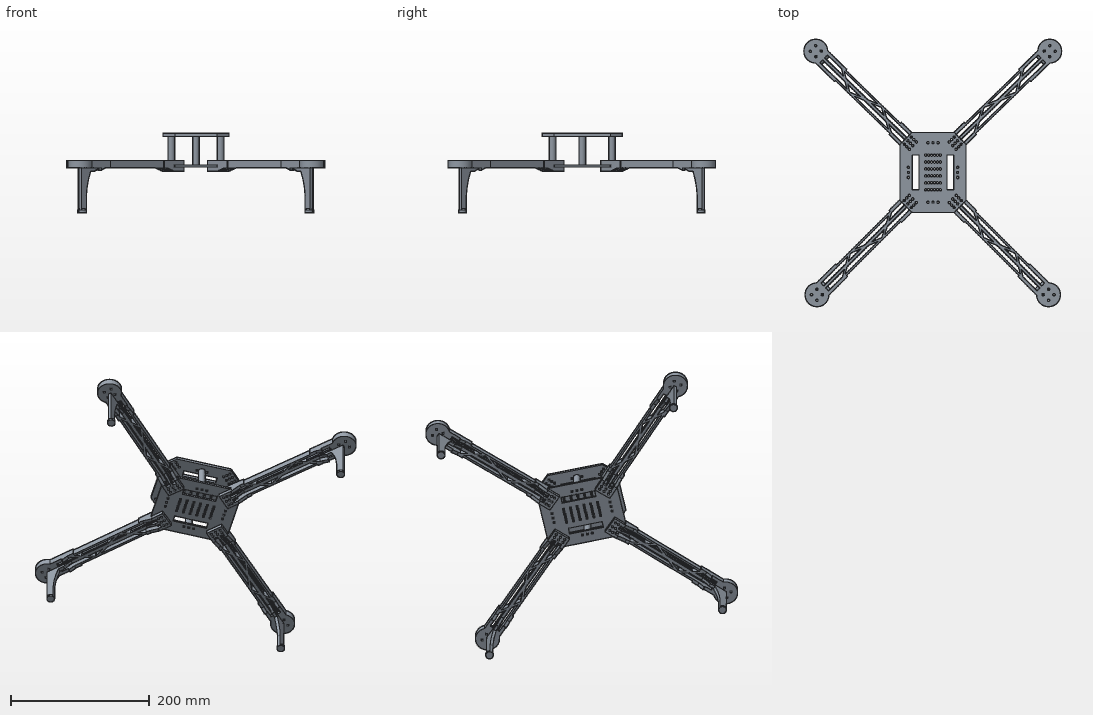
import cadquery as cq
import math

foot_height = 6.5
arm_top = 75.5
arm_thickness = 10.8
arm_bottom = arm_top - arm_thickness
jaw_drop = 5.0
jaw_bottom = arm_bottom - jaw_drop
lower_plate_bottom = 66.0
lower_plate_thickness = 3.0
lower_plate_top = lower_plate_bottom + lower_plate_thickness
total_height = 115.0
upper_plate_thickness = 5.0
upper_plate_bottom = total_height - upper_plate_thickness

mount_radius = 17.5
arm_end = 199.7
wide_width = 25.0
narrow_width = 21.2
mount_wide_end = 50.0
hub_wide_start = 159.5
rib_width = 4.0
rib_base_width = 5.0
rib_base_height = 4.0
slot_width = 5.8
slot_outer = rib_width / 2 + slot_width
slot_start = 15.8
slot_end = 186.0
ledge_length = 4.0
ledge_round = 3.5
ledge_height = 7.7
clamp_start = 180.5
ramp_start = 165.8
brace_thickness = 3.0
brace_ends = [(47.0, 73.0), (81.5, 120.3), (127.2, 156.5)]

foot_diameter = 11.0
foot_chamfer = 2.7
foot_offset = 5.5
leg_thickness = 4.5
leg_outer = 0.5
leg_inner = foot_offset + foot_diameter / 2
leg_curve_start = 25.0
leg_curve_middle = (14.5, 46.3)
leg_curve_end = 19.5
web_flat_end = 27.8
tail_start = 31.0
tail_drop = 3.5
tail_end = 40.5

hole_diameter = 3.0
mount_hole_radius = 7.9
clamp_row_pitch = 7.5
clamp_columns = [185.0, 190.0, 195.0]
arm_hole_columns = clamp_columns[1:]

back_mount = (-168.5, 175.5)
back_angle = -44.2
front_mount = (166.75, -175.5)
front_angle = 135.0

plate_center = (0.5, 0.8)
plate_length_x = 95.2
plate_length_y = 115.5
plate_chamfer = 17.5
window_width = 9.3
window_length = 49.7
window_offset = 25.0
vent_columns = 6
vent_column_pitch = 4.2
vent_rows = 6
vent_row_pitch = 10.0
post_diameter = 10.0
post_offset_x = 35.5
post_offset_y = 42.8
post_hole_pitch = 7.5


def box_between(x_start, x_end, width, z_start, z_end):
    """Box centred on the arm's axis."""
    size = (x_end - x_start, width, z_end - z_start)
    return cq.Workplane().box(*size).translate(
        ((x_start + x_end) / 2, 0, (z_start + z_end) / 2)
    )


def side_profile_solid(profile, width):
    """Extrude a closed profile drawn in the XZ plane evenly to both sides."""
    return profile.close().extrude(width / 2, both=True)



def arm_blank():
    mount = cq.Workplane().workplane(offset=arm_bottom).circle(mount_radius).extrude(arm_thickness)
    beam = box_between(0, arm_end, narrow_width, arm_bottom, arm_top)
    mount_beam = box_between(0, mount_wide_end, wide_width, arm_bottom, arm_top)
    hub_beam = box_between(hub_wide_start, arm_end, wide_width, arm_bottom, arm_top)
    return mount.union(beam).union(mount_beam).union(hub_beam)


def clamp_jaw():
    profile = (
        cq.Workplane("XZ")
        .moveTo(ramp_start, arm_bottom)
        .lineTo(clamp_start, jaw_bottom)
        .lineTo(arm_end, jaw_bottom)
        .lineTo(arm_end, arm_bottom)
    )
    return side_profile_solid(profile, wide_width)


def web_tail():
    """Full-width wedge that ends the leg's web."""
    profile = (
        cq.Workplane("XZ")
        .moveTo(tail_start, arm_bottom)
        .lineTo(tail_start, arm_bottom - tail_drop)
        .lineTo(tail_end, arm_bottom)
    )
    return side_profile_solid(profile, wide_width)


def lightening_slots():
    slots = cq.Workplane()
    for side in (1, -1):
        slot = box_between(slot_start, slot_end, slot_width, jaw_bottom, arm_top)
        slots = slots.add(slot.translate((0, side * (rib_width + slot_width) / 2, 0)))
    return slots.combine()


def slot_ledge():
    """Ledge at the mount's end of the slots, with a rounded free edge."""
    edge = slot_start + ledge_length
    ledge_top = arm_bottom + ledge_height
    ledge = box_between(slot_start, edge, 2 * slot_outer, arm_bottom, ledge_top)
    return ledge.edges("|Y and >X and >Z").fillet(ledge_round)


def rib_base():
    return box_between(slot_start, slot_end, rib_base_width, arm_bottom, arm_bottom + rib_base_height)


def brace(start, end, side):
    """Diagonal wall from one outer slot wall to the other."""
    run = end - start
    rise = 2 * slot_outer
    half_step = brace_thickness / 2 * math.hypot(run, rise) / rise
    near = side * slot_outer
    outline = [
        (start - half_step, near),
        (start + half_step, near),
        (end + half_step, -near),
        (end - half_step, -near),
    ]
    return cq.Workplane().workplane(offset=arm_bottom).polyline(outline).close().extrude(arm_thickness)


def leg():
    web = (
        cq.Workplane("XZ")
        .moveTo(leg_outer, 0)
        .lineTo(leg_inner, 0)
        .lineTo(leg_inner, leg_curve_start)
        .threePointArc(leg_curve_middle, (leg_curve_end, jaw_bottom))
        .lineTo(web_flat_end, jaw_bottom)
        .lineTo(tail_start, arm_bottom - tail_drop)
        .lineTo(tail_end, arm_bottom)
        .lineTo(leg_outer, arm_bottom)
    )
    foot = cq.Workplane().center(foot_offset, 0).circle(foot_diameter / 2).extrude(foot_height)
    foot = foot.faces(">Z").chamfer(foot_chamfer)
    return side_profile_solid(web, leg_thickness).union(foot)


def clamp_hole_points(columns):
    return [(x, row * clamp_row_pitch) for x in columns for row in (-1, 0, 1)]


def arm_holes():
    mount_holes = (
        cq.Workplane()
        .workplane(offset=arm_bottom)
        .polarArray(mount_hole_radius, 45, 360, 4)
        .circle(hole_diameter / 2)
        .extrude(arm_thickness)
    )
    clamp_holes = (
        cq.Workplane()
        .workplane(offset=jaw_bottom)
        .pushPoints(clamp_hole_points(arm_hole_columns))
        .circle(hole_diameter / 2)
        .extrude(arm_top - jaw_bottom)
    )
    return mount_holes.union(clamp_holes)


def make_arm():
    arm = arm_blank().union(clamp_jaw()).union(web_tail()).cut(lightening_slots())
    side = 1
    for start, end in brace_ends:
        arm = arm.union(brace(start, end, side))
        side = -side
    arm = arm.union(slot_ledge()).union(rib_base())
    plate_gap = box_between(clamp_start, arm_end, wide_width, lower_plate_bottom, lower_plate_top)
    return arm.union(leg()).cut(plate_gap).cut(arm_holes())


def place_on_arm(shape, mount, angle):
    return shape.rotate((0, 0, 0), (0, 0, 1), angle).translate((*mount, 0))


def place_arms(shape):
    """Copies for all four arms: the left and right of each pair mirror each other."""
    copies = []
    for mount, angle in ((back_mount, back_angle), (front_mount, front_angle)):
        placed = place_on_arm(shape, mount, angle)
        copies += [placed, placed.mirror("YZ")]
    return copies



def post_points():
    x, y = plate_center
    return [
        (x - post_offset_x, y),
        (x + post_offset_x, y),
        (x, y - post_offset_y),
        (x, y + post_offset_y),
    ]


def post_hole_points():
    """Three holes in line at each post, along the plate's nearest edge."""
    points = []
    for x, y in post_points():
        for step in (-post_hole_pitch, 0, post_hole_pitch):
            if x == plate_center[0]:
                points.append((x + step, y))
            else:
                points.append((x, y + step))
    return points


def make_plate(bottom, thickness):
    sketch_plane = cq.Workplane(origin=(*plate_center, bottom))
    plate = sketch_plane.rect(plate_length_x, plate_length_y).extrude(thickness)
    plate = plate.edges("|Z").chamfer(plate_chamfer)
    windows = (
        sketch_plane.pushPoints([(-window_offset, 0), (window_offset, 0)])
        .rect(window_width, window_length)
        .extrude(thickness)
    )
    vents = (
        sketch_plane.rarray(vent_column_pitch, vent_row_pitch, vent_columns, vent_rows)
        .circle(hole_diameter / 2)
        .extrude(thickness)
    )
    post_holes = (
        cq.Workplane(origin=(0, 0, bottom))
        .pushPoints(post_hole_points())
        .circle(hole_diameter / 2)
        .extrude(thickness)
    )
    plate = plate.cut(windows).cut(vents).cut(post_holes)
    clamp_holes = (
        cq.Workplane(origin=(0, 0, bottom))
        .pushPoints(clamp_hole_points(clamp_columns))
        .circle(hole_diameter / 2)
        .extrude(thickness)
        .combine()
    )
    for holes in place_arms(clamp_holes):
        plate = plate.cut(holes)
    return plate


def make_post(point):
    post_height = upper_plate_bottom - lower_plate_top
    return (
        cq.Workplane(origin=(*point, lower_plate_top))
        .circle(post_diameter / 2)
        .extrude(post_height)
    )


arms = place_arms(make_arm())
lower_plate = make_plate(lower_plate_bottom, lower_plate_thickness)
upper_plate = make_plate(upper_plate_bottom, upper_plate_thickness)
posts = [make_post(point) for point in post_points()]

result = cq.Compound.makeCompound(
    [arm.val() for arm in arms]
    + [lower_plate.val(), upper_plate.val()]
    + [post.val() for post in posts]
)